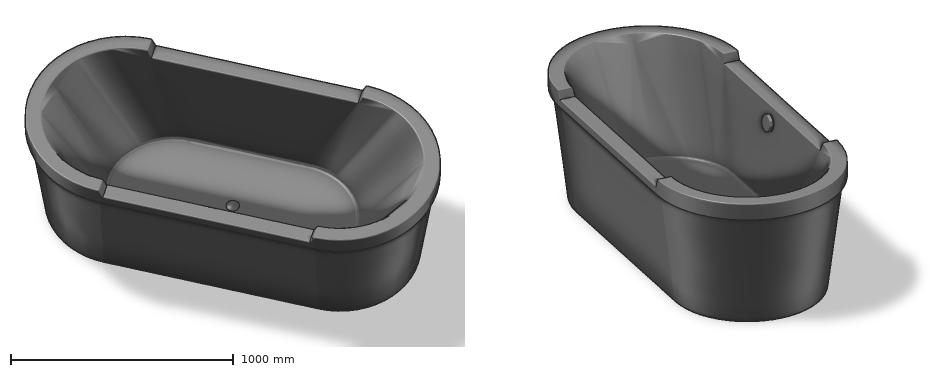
import cadquery as cq
import math

length = 1900.0
width = 900.0
height = 640.0
rim_height = 80.0
rim_radius = width / 2
end_center = length / 2 - rim_radius
rim_underside = height - rim_height
rim_edge_radius = 7.0

entry_height = 600.0
entry_half_length_bottom = 481.0
entry_half_length_top = end_center
slope_run_per_height = (entry_half_length_top - entry_half_length_bottom) / (height - entry_height)

opening_radius = 378.0
floor_height = 146.0
floor_center = 265.0
floor_radius = 309.0
floor_edge_radius = 20.0
liner_thickness = 20.0

rim_overhang = 18.0
skirt_top_radius = rim_radius - rim_overhang
skirt_bottom_radius = 361.0
skirt_edge_radius = 18.0

plug_diameter = 60.0
plug_dome_height = 8.0

overflow_diameter = 80.0
overflow_height = 520.0
overflow_flange_thickness = 5.0
overflow_knob_thickness = 16.0
overflow_knob_edge_radius = 4.0

cavity_depth = height - floor_height
wall_run = opening_radius - floor_radius
wall_lean = math.atan2(wall_run, cavity_depth)


def stadium(z, center, radius):
    """Wire at height z: straight sides along X and a half circle about each end center."""
    return (
        cq.Workplane("XY", origin=(0, 0, z))
        .moveTo(-center, -radius)
        .lineTo(center, -radius)
        .threePointArc((center + radius, 0), (center, radius))
        .lineTo(-center, radius)
        .threePointArc((-center - radius, 0), (-center, -radius))
        .close()
        .val()
    )


def cavity_section(z, offset=0.0):
    """Stadium of the cavity at height z, grown outwards by the offset."""
    rise = (z - floor_height) / cavity_depth
    center = floor_center + rise * (end_center - floor_center)
    return stadium(z, center, floor_radius + rise * wall_run + offset)


def ruled_solid(bottom, top):
    """Solid with straight rulings between two stadium wires."""
    return cq.Workplane(cq.Solid.makeLoft([bottom, top], True))


def make_cavity():
    cavity = ruled_solid(cavity_section(floor_height), cavity_section(height))
    return cavity.faces("<Z").edges().fillet(floor_edge_radius)


def make_liner_envelope():
    """Outside of the basin liner from below the floor up to the rim underside."""
    return ruled_solid(
        cavity_section(floor_height - liner_thickness, liner_thickness),
        cavity_section(rim_underside, liner_thickness),
    )


def make_rim_ring(top):
    """Rim from its underside up to the given height, around the cavity."""
    ring = cq.Solid.extrudeLinear(
        stadium(rim_underside, end_center, rim_radius), [], cq.Vector(0, 0, top - rim_underside)
    )
    return cq.Workplane(ring).cut(cavity)


def make_low_rim():
    return make_rim_ring(entry_height).faces(">Z").edges().fillet(rim_edge_radius)


def is_slope(face):
    """True for the flat faces that mostly face along X."""
    return face.geomType() == "PLANE" and abs(face.normalAt().x) > 0.5


def make_raised_ends():
    """Both full-height rim ends, cut off by slopes that lean away from the middle."""
    slope_foot = entry_half_length_top - slope_run_per_height * rim_height
    middle = (
        cq.Workplane("XZ")
        .polyline(
            [
                (-slope_foot, rim_underside),
                (slope_foot, rim_underside),
                (entry_half_length_top, height),
                (-entry_half_length_top, height),
            ]
        )
        .close()
        .extrude(rim_radius, both=True)
    )
    ends = make_rim_ring(height).cut(middle)
    ends = ends.faces().filter(is_slope).edges("not |Y").fillet(rim_edge_radius)
    return ends.faces(">Z").edges().fillet(rim_edge_radius)


def make_plug():
    """Plug through the basin floor with a domed head above it."""
    plug_radius = plug_diameter / 2
    bottom = floor_height - liner_thickness
    dome_top = floor_height + plug_dome_height
    dome_radius = (plug_radius**2 + plug_dome_height**2) / (2 * plug_dome_height)
    half_angle = math.asin(plug_radius / dome_radius) / 2
    arc_middle = (
        dome_radius * math.sin(half_angle),
        dome_top - dome_radius * (1 - math.cos(half_angle)),
    )
    return (
        cq.Workplane("XZ")
        .moveTo(0, bottom)
        .lineTo(plug_radius, bottom)
        .lineTo(plug_radius, floor_height)
        .threePointArc(arc_middle, (0, dome_top))
        .close()
        .revolve(360, (0, 0), (0, 1))
    )


def overflow_plane(distance):
    """Workplane parallel to the -Y cavity wall, at a distance into the cavity."""
    wall_y = -floor_radius - (overflow_height - floor_height) * math.tan(wall_lean)
    wall_plane = cq.Plane(
        origin=(0, wall_y, overflow_height),
        xDir=(1, 0, 0),
        normal=(0, math.cos(wall_lean), math.sin(wall_lean)),
    )
    return cq.Workplane(wall_plane).workplane(offset=distance)


def make_overflow_flange():
    return overflow_plane(0).circle(overflow_diameter / 2).extrude(overflow_flange_thickness)


def make_overflow_knob():
    disc = overflow_plane(overflow_flange_thickness).circle(overflow_diameter / 2)
    knob = disc.extrude(overflow_knob_thickness)
    return knob.faces(">Y").edges().fillet(overflow_knob_edge_radius)


def make_skirt():
    taper = math.degrees(math.atan2(skirt_bottom_radius - skirt_top_radius, rim_underside))
    outline = stadium(0, end_center, skirt_bottom_radius)
    skirt = cq.Workplane(
        cq.Solid.extrudeLinear(outline, [], cq.Vector(0, 0, rim_underside), taper)
    )
    skirt = skirt.faces("<Z").edges().fillet(skirt_edge_radius)
    return skirt.cut(make_liner_envelope())


cavity = make_cavity()
plug = make_plug()
tub = make_low_rim().union(make_raised_ends()).union(make_liner_envelope().cut(cavity)).cut(plug)
skirt = make_skirt()
overflow_flange = make_overflow_flange()
overflow_knob = make_overflow_knob()

result = cq.Compound.makeCompound(
    [tub.val(), skirt.val(), plug.val(), overflow_flange.val(), overflow_knob.val()]
)